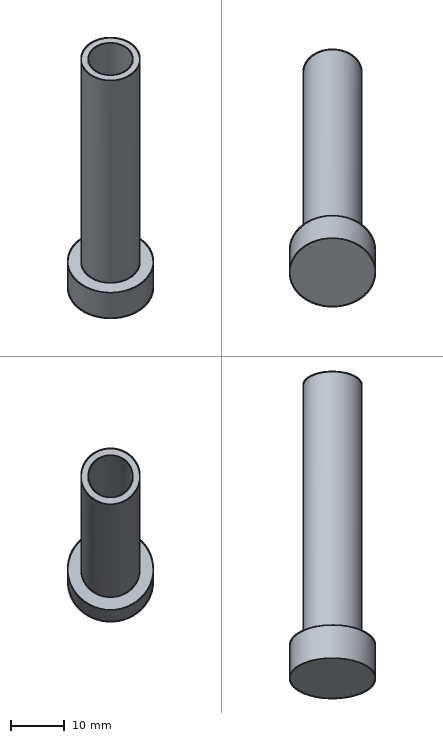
import cadquery as cq
import math

total_height = 62.0
flange_diameter = 16.0
flange_height = 7.0
tube_diameter = 11.0
bore_diameter = 8.3
bore_depth = 50.0
drill_point_angle = 118.0

flange_radius = flange_diameter / 2
tube_radius = tube_diameter / 2
bore_radius = bore_diameter / 2
bore_bottom = total_height - bore_depth
cone_tip = bore_bottom - bore_radius / math.tan(math.radians(drill_point_angle / 2))


def flanged_tube():
    """Half profile of flange, tube and drilled blind bore, turned about Z."""
    profile = (
        cq.Workplane("XZ")
        .moveTo(0, 0)
        .lineTo(flange_radius, 0)
        .lineTo(flange_radius, flange_height)
        .lineTo(tube_radius, flange_height)
        .lineTo(tube_radius, total_height)
        .lineTo(bore_radius, total_height)
        .lineTo(bore_radius, bore_bottom)
        .lineTo(0, cone_tip)
        .close()
    )
    return profile.revolve(360, (0, 0, 0), (0, 1, 0))


result = flanged_tube()